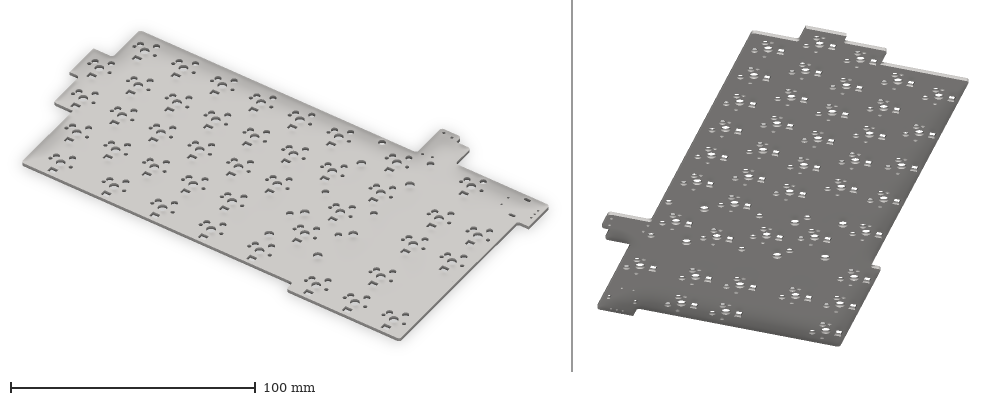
import cadquery as cq


plate_length = 208.8
plate_width = 117.5
thickness = 1.6
corner_radius = 1.3
edge_margin = 8.8
top_margin = 9.5

key_span = 185.8
key_span_pitches = 9.75
pitch = key_span / key_span_pitches
main_block_lift = 0.25


def column_x(column):
    return edge_margin + column * pitch


def row_y(row):
    """Y of a row, counted upwards from the bottom row of the main block."""
    return edge_margin + (row + main_block_lift) * pitch


main_rows = {
    4: [0.5, 1.5, 2.5, 3.5, 4.5, 5.5],
    3: [0, 1, 2, 3, 4, 5, 6, 7.25],
    2: [0.25, 1.25, 2.25, 3.25, 4.25, 5.25],
    1: [0.75, 1.75, 2.75, 3.75, 4.75],
    0: [1, 2.375, 3.625, 4.875, 6.125],
}

cluster_rows = {
    4.25: [8.75],
    3: [8.75, 9.75],
    2: [8.75, 9.75],
    0.75: [8.75],
    -0.25: [7.75, 8.75, 9.75],
}

wide_keys = [(7, 4), (6.875, 2), (6.625, 1)]

post_diameter = 4.0
side_pin_diameter = 1.75
side_pin_offset = 5.0
contact_diameter = 3.0
contact_grid = 2.5
contact_left_steps = (-1.5, 1)
contact_right_steps = (1, 2)
light_window_length = 3.5
light_window_width = 3.0
light_window_drop = 5.6

stabilizer_offset = 12.0
stabilizer_small_diameter = 3.1
stabilizer_small_rise = 6.9
stabilizer_large_diameter = 4.0
stabilizer_large_drop = 8.4

tab_left = 145.5
tab_step_x = 155.3
tab_right = 162.5
tab_step_y = 113.8
tab_pin_diameter = 1.3
tab_outer_pin_x = 148.0
tab_inner_pin_x = 152.4
tab_pin_middle_y = 107.7
tab_outer_pin_spacing = 15.7
tab_inner_pin_spacing = 14.5

encoder_x = column_x(10)
encoder_y = row_y(4.25)
encoder_tab_bottom = 86.8
encoder_tab_top = 102.5
encoder_pin_diameter = 1.0
encoder_pin_pitch = 2.5
encoder_pin_offset = 7.3
encoder_slot_length = 3.1
encoder_slot_width = 1.5
encoder_slot_offset = 5.6


def make_plate():
    row_3_left = 0
    row_2_left = column_x(0.25) - edge_margin
    row_4_left = column_x(0.5) - edge_margin
    row_1_left = column_x(0.75) - edge_margin
    cluster_left = column_x(7.75) - edge_margin
    cluster_right = column_x(9.75) + edge_margin
    main_bottom = row_y(0) - edge_margin
    main_top = row_y(4) + top_margin
    outline = [
        (cluster_left, 0, True),
        (cluster_right, 0, True),
        (cluster_right, encoder_tab_bottom, True),
        (plate_length, encoder_tab_bottom, False),
        (plate_length, encoder_tab_top, True),
        (tab_right, encoder_tab_top, True),
        (tab_right, tab_step_y, True),
        (tab_step_x, tab_step_y, False),
        (tab_step_x, plate_width, True),
        (tab_left, plate_width, True),
        (tab_left, main_top, True),
        (row_4_left, main_top, True),
        (row_4_left, row_y(3) + edge_margin, True),
        (row_3_left, row_y(3) + edge_margin, False),
        (row_3_left, row_y(3) - edge_margin, False),
        (row_2_left, row_y(3) - edge_margin, True),
        (row_2_left, row_y(2) - edge_margin, True),
        (row_1_left, row_y(2) - edge_margin, False),
        (row_1_left, main_bottom, True),
        (cluster_left, main_bottom, True),
    ]
    plate = cq.Workplane("XY").polyline([(x, y) for x, y, _ in outline]).close().extrude(thickness)
    rounded_corners = [(x, y, thickness / 2) for x, y, is_rounded in outline if is_rounded]
    corner_edges = []
    for corner in rounded_corners:
        corner_edges += plate.edges("|Z").edges(cq.NearestToPointSelector(corner)).vals()
    return plate.newObject(corner_edges).fillet(corner_radius)


def round_holes(centres, diameter):
    return cq.Workplane("XY").pushPoints(centres).circle(diameter / 2).extrude(thickness)


def shifted(centres, dx, dy):
    return [(x + dx, y + dy) for x, y in centres]


def both_sides(centres, dx, dy):
    return shifted(centres, -dx, dy) + shifted(centres, dx, dy)


def cut_keys(plate, centres):
    contacts = []
    for steps_x, steps_y in (contact_left_steps, contact_right_steps):
        contacts += shifted(centres, steps_x * contact_grid, steps_y * contact_grid)
    windows = (
        cq.Workplane("XY")
        .pushPoints(shifted(centres, 0, -light_window_drop))
        .rect(light_window_length, light_window_width)
        .extrude(thickness)
    )
    plate = plate.cut(round_holes(centres, post_diameter))
    plate = plate.cut(round_holes(both_sides(centres, side_pin_offset, 0), side_pin_diameter))
    plate = plate.cut(round_holes(contacts, contact_diameter))
    return plate.cut(windows)


def cut_stabilizers(plate, centres):
    small = both_sides(centres, stabilizer_offset, stabilizer_small_rise)
    large = both_sides(centres, stabilizer_offset, -stabilizer_large_drop)
    plate = plate.cut(round_holes(small, stabilizer_small_diameter))
    return plate.cut(round_holes(large, stabilizer_large_diameter))


def cut_tab_pins(plate):
    pins = []
    for x, spacing in ((tab_outer_pin_x, tab_outer_pin_spacing), (tab_inner_pin_x, tab_inner_pin_spacing)):
        pins += [(x, tab_pin_middle_y - spacing / 2), (x, tab_pin_middle_y + spacing / 2)]
    return plate.cut(round_holes(pins, tab_pin_diameter))


def cut_encoder(plate):
    right_pins = [(encoder_x + encoder_pin_offset, encoder_y + i * encoder_pin_pitch) for i in (-1, 0, 1)]
    left_pins = [(encoder_x - encoder_pin_offset, encoder_y + i * encoder_pin_pitch) for i in (-1, 1)]
    slot_centres = [(encoder_x, encoder_y + side * encoder_slot_offset) for side in (-1, 1)]
    slots = (
        cq.Workplane("XY")
        .pushPoints(slot_centres)
        .slot2D(encoder_slot_length, encoder_slot_width)
        .extrude(thickness)
    )
    return plate.cut(round_holes(right_pins + left_pins, encoder_pin_diameter)).cut(slots)


wide_centres = [(column_x(column), row_y(row)) for column, row in wide_keys]
key_centres = list(wide_centres)
for rows in (main_rows, cluster_rows):
    for row, columns in rows.items():
        key_centres += [(column_x(column), row_y(row)) for column in columns]

result = make_plate()
result = cut_keys(result, key_centres)
result = cut_stabilizers(result, wide_centres)
result = cut_tab_pins(result)
result = cut_encoder(result)